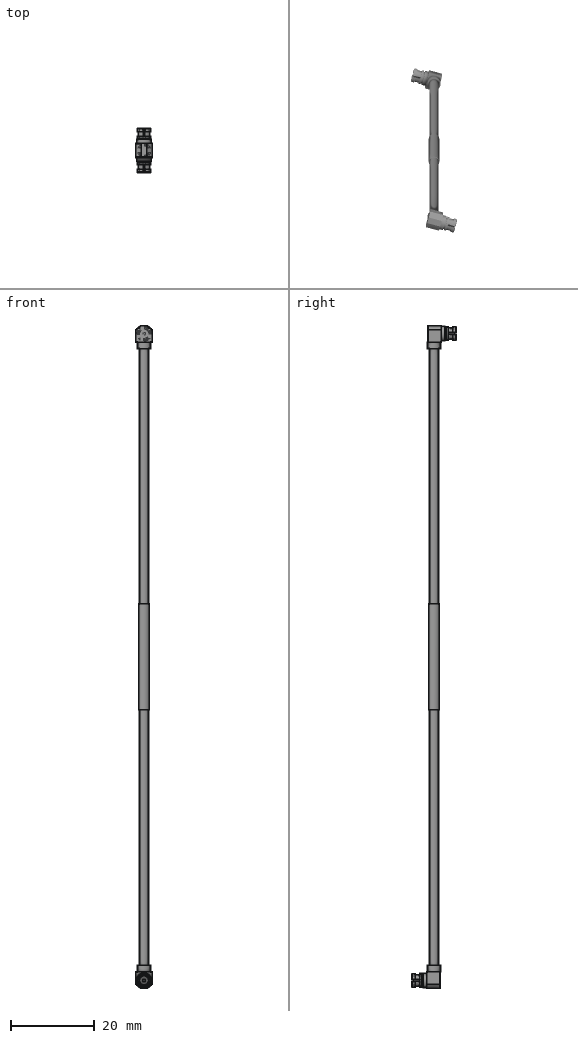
import cadquery as cq

LENGTH = 157.9
OVERALL_DEPTH = 10.6
END_Z = LENGTH / 2
TIP_Y = OVERALL_DEPTH / 2

CABLE_DIAMETER = 2.2
SLEEVE_DIAMETER = 2.5
SLEEVE_LENGTH = 25.3
SLEEVE_END_Z = SLEEVE_LENGTH / 2

BLOCK_WIDTH = 4.0
BLOCK_FACE_Y = 1.7
BLOCK_BACK_Y = -1.45
BLOCK_HEIGHT = 4.0
BLOCK_CHAMFER_DROP = 1.03
BLOCK_CHAMFER_WIDTH = 1.3
BLOCK_FLOOR_Z = END_Z - BLOCK_HEIGHT

FERRULE_DIAMETER = 3.2
FERRULE_LENGTH = 1.6
FERRULE_END_Z = BLOCK_FLOOR_Z - FERRULE_LENGTH

PLUG_AXIS_Z = END_Z - 1.9
BASE_DIAMETER = 3.5
RIM_DIAMETER = 3.3
GROOVE_DIAMETER = 2.8
TIP_CHAMFER = 0.2
LIP_END = 0.8
SNAP_RING_START = 1.9
SNAP_RING_END = 2.4
BASE_START = 2.7

SOCKET_DIAMETER = 2.2
SOCKET_DEPTH = 2.5
SLOT_WIDTH = 0.5
SLOT_DEPTH = 1.9
PIN_DIAMETER = 0.6
PIN_LENGTH = 2.2
SOCKET_FLOOR_Y = TIP_Y - SOCKET_DEPTH


def cylinder_on_plug_axis(diameter, start_y, end_y):
    start = cq.Workplane("XZ", origin=(0, start_y, PLUG_AXIS_Z))
    return start.circle(diameter / 2).extrude(start_y - end_y)


def cylinder_on_cable_axis(diameter, start_z, end_z):
    start = cq.Workplane("XY", origin=(0, 0, start_z))
    return start.circle(diameter / 2).extrude(end_z - start_z)


def make_block():
    half_width = BLOCK_WIDTH / 2
    half_flat = half_width - BLOCK_CHAMFER_WIDTH
    shoulder_z = END_Z - BLOCK_CHAMFER_DROP
    outline = [
        (-half_width, BLOCK_FLOOR_Z),
        (half_width, BLOCK_FLOOR_Z),
        (half_width, shoulder_z),
        (half_flat, END_Z),
        (-half_flat, END_Z),
        (-half_width, shoulder_z),
    ]
    face = cq.Workplane("XZ", origin=(0, BLOCK_FACE_Y, 0)).polyline(outline).close()
    return face.extrude(BLOCK_FACE_Y - BLOCK_BACK_Y)


def make_plug_blank():
    lip = cylinder_on_plug_axis(RIM_DIAMETER, TIP_Y - LIP_END, TIP_Y).faces(">Y").chamfer(TIP_CHAMFER)
    core = cylinder_on_plug_axis(GROOVE_DIAMETER, BLOCK_FACE_Y, TIP_Y - LIP_END)
    snap_ring = cylinder_on_plug_axis(RIM_DIAMETER, TIP_Y - SNAP_RING_END, TIP_Y - SNAP_RING_START)
    base = cylinder_on_plug_axis(BASE_DIAMETER, BLOCK_FACE_Y, TIP_Y - BASE_START)
    return core.union(lip).union(snap_ring).union(base)


def make_slots():
    """Two crossed plates that split the plug wall at its four quarter points."""
    center = cq.Workplane("XY", origin=(0, TIP_Y - SLOT_DEPTH / 2, PLUG_AXIS_Z))
    upright = center.box(SLOT_WIDTH, SLOT_DEPTH, BASE_DIAMETER)
    level = center.box(BASE_DIAMETER, SLOT_DEPTH, SLOT_WIDTH)
    return upright.union(level)


def make_housing():
    socket = cylinder_on_plug_axis(SOCKET_DIAMETER, SOCKET_FLOOR_Y, TIP_Y)
    plug = make_plug_blank().cut(socket).cut(make_slots())
    return make_block().union(plug)


def make_contact_pin():
    return cylinder_on_plug_axis(PIN_DIAMETER, SOCKET_FLOOR_Y, SOCKET_FLOOR_Y + PIN_LENGTH)


def make_ferrule():
    return cylinder_on_cable_axis(FERRULE_DIAMETER, FERRULE_END_Z, BLOCK_FLOOR_Z)


def make_cable_half():
    return cylinder_on_cable_axis(CABLE_DIAMETER, SLEEVE_END_Z, FERRULE_END_Z)


def make_sleeve():
    return cylinder_on_cable_axis(SLEEVE_DIAMETER, -SLEEVE_END_Z, SLEEVE_END_Z)


bodies = [make_sleeve().val()]
for turn in (0, 180):
    for make_body in (make_cable_half, make_ferrule, make_housing, make_contact_pin):
        body = make_body().rotate((0, 0, 0), (1, 0, 0), turn)
        bodies.append(body.solids().val())

result = cq.Compound.makeCompound(bodies)